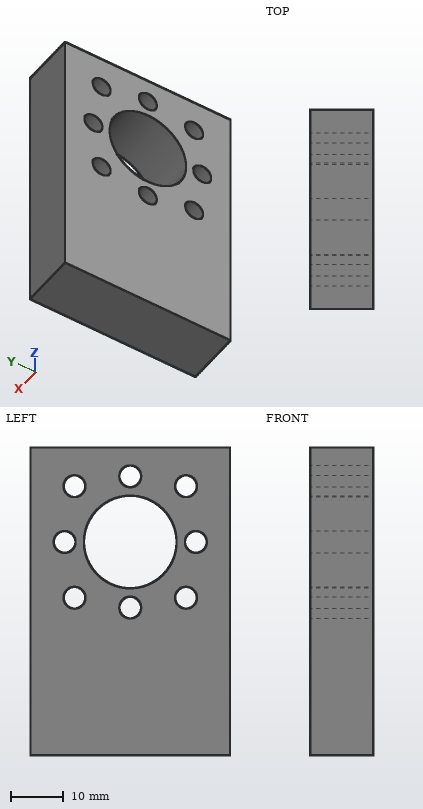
import cadquery as cq

thickness = 12.0
width = 38.0
height = 58.65

bore_diameter = 17.6
bore_drop = 18.0
small_hole_diameter = 4.1
inner_ring_radius = 12.5
outer_ring_radius = 15.0
holes_per_ring = 4
diagonal_angle = 45


def bore_plane(plate):
    """Work plane on the -X face, centred on the bore axis."""
    bore_offset = height / 2 - bore_drop
    return plate.faces("<X").workplane(origin=(0, 0, bore_offset))


def drill_ring(plate, radius, start_angle):
    """Drill evenly spaced through holes on a circle around the bore."""
    ring = bore_plane(plate).polarArray(radius, start_angle, 360, holes_per_ring)
    return ring.hole(small_hole_diameter)


plate = cq.Workplane("XY").box(thickness, width, height)
plate = bore_plane(plate).hole(bore_diameter)
plate = drill_ring(plate, inner_ring_radius, 0)
result = drill_ring(plate, outer_ring_radius, diagonal_angle)